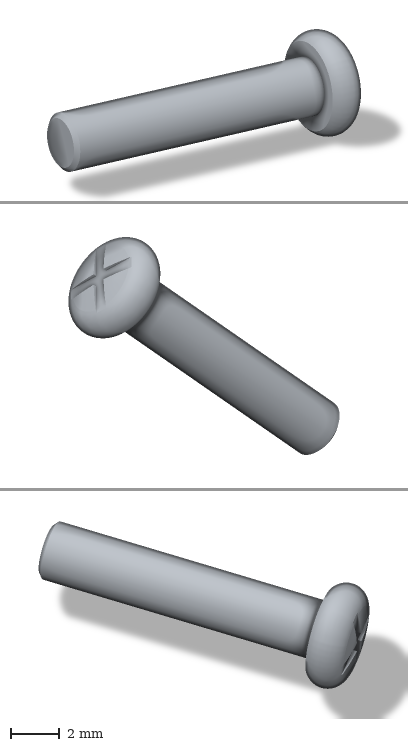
import cadquery as cq
import math

total_length = 13.67
head_height = 1.67
head_radius = 2.24
shank_radius = 2.5 / 2

tip_chamfer_radial = 0.2
tip_chamfer_axial = 0.18

bearing_radius = 1.9
rim_height = 0.68

slot_width = 0.55
slot_depth = 0.18

rim_overhang = head_radius - bearing_radius
rim_radius = (rim_overhang**2 + rim_height**2) / (2 * rim_overhang)
rim_center_x = head_radius - rim_radius

crown_rise = head_height - rim_height
dome_radius = (rim_center_x**2 + crown_rise**2 - rim_radius**2) / (2 * (crown_rise - rim_radius))
dome_center_y = head_height - dome_radius

slot_corner_radius = math.hypot(slot_width / 2, slot_width / 2)
head_top_y = dome_center_y + math.sqrt(dome_radius**2 - slot_corner_radius**2)
shank_length = total_length - head_top_y

tip_y = -shank_length


def make_head():
    def dome_point(angle):
        return (dome_radius * math.sin(angle), dome_center_y + dome_radius * math.cos(angle))

    tangent_angle = math.atan2(rim_center_x, rim_height - dome_center_y)
    profile = (
        cq.Workplane("XY")
        .lineTo(bearing_radius, 0)
        .threePointArc((head_radius, rim_height), dome_point(tangent_angle))
        .threePointArc(dome_point(tangent_angle / 2), (0, head_height))
        .close()
    )
    return profile.revolve(360, (0, 0, 0), (0, 1, 0))


def make_shank():
    tip_face_radius = shank_radius - tip_chamfer_radial
    profile = cq.Workplane("XY").polyline([
        (0, 0),
        (shank_radius, 0),
        (shank_radius, tip_y + tip_chamfer_axial),
        (tip_face_radius, tip_y),
        (0, tip_y),
    ]).close()
    return profile.revolve(360, (0, 0, 0), (0, 1, 0))


def make_cross_slot():
    slot_length = 2 * head_radius
    slot_center_y = head_height - slot_depth / 2
    slot_along_x = cq.Workplane("XY").box(slot_length, slot_depth, slot_width)
    slot_along_z = cq.Workplane("XY").box(slot_width, slot_depth, slot_length)
    return slot_along_x.union(slot_along_z).translate((0, slot_center_y, 0))


screw = make_head().union(make_shank()).cut(make_cross_slot())

result = screw.translate((0, total_length / 2 - head_top_y, 0))